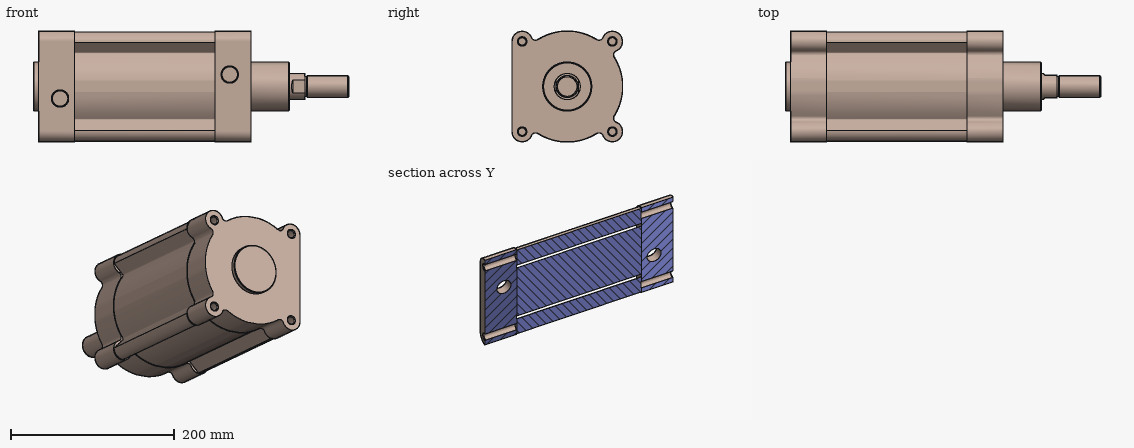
import cadquery as cq
import math


total_length = 385.0
boss_length = 6.0
cap_length = 44.0
barrel_length = 171.7
collar_length = 46.5
rear_cap_x = boss_length
barrel_x = rear_cap_x + cap_length
front_cap_x = barrel_x + barrel_length
collar_x = front_cap_x + cap_length

cap_width = 135.0
cap_half = cap_width / 2
cap_round_diameter = 136.0
cap_corner_offset = 55.0
cap_corner_radius = cap_half - cap_corner_offset
valley_fillet = 5.0
crown_blend_radius = 32.7
flat_side_depth = 21.0
boss_diameter = 60.0
boss_chamfer = 0.8
collar_chamfer = 1.0

screw_hole_diameter = 9.2
screw_hole_chamfer = 1.0

port_diameter = 19.0
port_chamfer = 1.0
port_depth = 17.5
port_from_barrel = 17.7
port_height = 14.5

barrel_width = 133.5
barrel_half = barrel_width / 2
barrel_round_diameter = 134.5
rail_corner_offset = 54.0
rail_corner_radius = barrel_half - rail_corner_offset
rail_depth = 30.8
rail_fillet = 1.5

rod_diameter = 32.0
thread_diameter = 27.0
thread_chamfer = 1.5
relief_diameter = 24.5
shoulder_x = 331.0
thread_x = 334.5
flats_width = 27.7
flats_x = 316.5
flats_run_in = 1.5

TOLERANCE = 0.05

CORNER_SIGNS = [(-1, -1), (-1, 1), (1, -1), (1, 1)]


def cylinder(x_start, length, diameter):
    return cq.Workplane("YZ").workplane(offset=x_start).circle(diameter / 2).extrude(length)


def square_bar(length, width):
    return cq.Workplane("YZ").rect(width, width).extrude(length)


def fillet_lengthwise_edges(body, radius, wanted):
    """Round the edges along X for which wanted(|y|, |z|) is true."""
    edges = [
        edge
        for edge in body.edges("|X").vals()
        if wanted(abs(edge.Center().y), abs(edge.Center().z))
    ]
    return body.newObject(edges).fillet(radius)


def is_valley(round_diameter, half_width):
    """Test for an edge on the main round that is not on a flat crown."""
    def test(y, z):
        on_round = abs(math.hypot(y, z) - round_diameter / 2) < TOLERANCE
        return on_round and max(y, z) < half_width - TOLERANCE
    return test


def is_crown(round_diameter, half_width):
    """Test for an edge where the main round runs into a flat crown."""
    def test(y, z):
        on_round = abs(math.hypot(y, z) - round_diameter / 2) < TOLERANCE
        return on_round and max(y, z) > half_width - TOLERANCE
    return test


def crowned_round(length, diameter, width):
    """Round bar with a narrow flat on each of its four sides, starting at X = 0."""
    return cylinder(0, length, diameter).intersect(square_bar(length, width))


def corner_points(offset):
    return [(sign_y * offset, sign_z * offset) for sign_y, sign_z in CORNER_SIGNS]


def cap_block():
    """Round cap with four corner lobes and a full-width flat -Y side, starting at X = 0."""
    lobes = (
        cq.Workplane("YZ")
        .pushPoints(corner_points(cap_corner_offset))
        .circle(cap_corner_radius)
        .extrude(cap_length)
    )
    flat_side = (
        cq.Workplane("YZ")
        .center(flat_side_depth / 2 - cap_half, 0)
        .rect(flat_side_depth, 2 * cap_corner_offset)
        .extrude(cap_length)
    )
    block = crowned_round(cap_length, cap_round_diameter, cap_width).union(lobes).union(flat_side)
    block = fillet_lengthwise_edges(block, valley_fillet, is_valley(cap_round_diameter, cap_half))
    return fillet_lengthwise_edges(block, crown_blend_radius, is_crown(cap_round_diameter, cap_half))


def countersunk_cutter(plane, depth, diameter, chamfer):
    """Hole cutter from the plane's origin along its normal, with a 45 degree countersink."""
    bore = cq.Workplane(plane).circle(diameter / 2).extrude(depth)
    cone = cq.Workplane(plane).circle(diameter / 2 + chamfer).extrude(chamfer, taper=45)
    return bore.union(cone)


def cut_screw_holes(cap, face_x, inward):
    """Cut the four corner holes through a cap, countersunk on its outer face."""
    for y, z in corner_points(cap_corner_offset):
        plane = cq.Plane(origin=(face_x, y, z), xDir=(0, 1, 0), normal=(inward, 0, 0))
        cap = cap.cut(countersunk_cutter(plane, cap_length, screw_hole_diameter, screw_hole_chamfer))
    return cap


def cut_port(cap, x, z):
    """Cut a blind air port into the flat -Y side of a cap."""
    plane = cq.Plane(origin=(x, -cap_half, z), xDir=(1, 0, 0), normal=(0, 1, 0))
    return cap.cut(countersunk_cutter(plane, port_depth, port_diameter, port_chamfer))


def make_rear_cap():
    boss = cylinder(0, boss_length, boss_diameter).faces("<X").chamfer(boss_chamfer)
    cap = cap_block().translate((rear_cap_x, 0, 0)).union(boss)
    cap = cut_screw_holes(cap, rear_cap_x, 1)
    return cut_port(cap, barrel_x - port_from_barrel, -port_height)


def make_front_cap():
    collar = cylinder(collar_x, collar_length, boss_diameter).faces(">X").chamfer(collar_chamfer)
    cap = cap_block().translate((front_cap_x, 0, 0)).union(collar)
    cap = cut_screw_holes(cap, collar_x, -1)
    cap = cut_port(cap, front_cap_x + port_from_barrel, port_height)
    rod_bore = cylinder(front_cap_x, cap_length + collar_length, rod_diameter)
    return cap.cut(rod_bore)


def corner_rail():
    """Corner rail of the barrel on the +Y +Z side: rounded outside, 45 degree flanks."""
    middle = rail_corner_offset + rail_corner_radius * math.sqrt(0.5)
    return (
        cq.Workplane("YZ")
        .moveTo(barrel_half, rail_corner_offset)
        .threePointArc((middle, middle), (rail_corner_offset, barrel_half))
        .line(-rail_depth, -rail_depth)
        .line(rail_corner_radius, -rail_corner_radius)
        .close()
        .extrude(barrel_length)
    )


def make_barrel():
    barrel = crowned_round(barrel_length, barrel_round_diameter, barrel_width)
    for quarter in range(4):
        barrel = barrel.union(corner_rail().rotate((0, 0, 0), (1, 0, 0), 90 * quarter))
    barrel = fillet_lengthwise_edges(barrel, rail_fillet, is_valley(barrel_round_diameter, barrel_half))
    return barrel.translate((barrel_x, 0, 0))


def wrench_flat_cutter():
    """Cutter for the +Y wrench flat, with a sloped run-in at its collar end."""
    flat_y = flats_width / 2
    outer_y = rod_diameter / 2
    return (
        cq.Workplane("XY")
        .moveTo(flats_x, flat_y)
        .lineTo(shoulder_x, flat_y)
        .lineTo(shoulder_x, outer_y)
        .lineTo(flats_x - flats_run_in, outer_y)
        .close()
        .extrude(rod_diameter / 2, both=True)
    )


def make_rod():
    """Piston rod with a thread relief, a chamfered thread and two wrench flats."""
    rod_radius = rod_diameter / 2
    relief_radius = relief_diameter / 2
    thread_radius = thread_diameter / 2
    rod = (
        cq.Workplane("XY")
        .moveTo(front_cap_x, 0)
        .lineTo(front_cap_x, rod_radius)
        .lineTo(shoulder_x, rod_radius)
        .lineTo(shoulder_x, relief_radius)
        .lineTo(thread_x - (thread_radius - relief_radius), relief_radius)
        .lineTo(thread_x, thread_radius)
        .lineTo(total_length - thread_chamfer, thread_radius)
        .lineTo(total_length, thread_radius - thread_chamfer)
        .lineTo(total_length, 0)
        .close()
        .revolve(360, (0, 0, 0), (1, 0, 0))
    )
    flat_cutter = wrench_flat_cutter()
    return rod.cut(flat_cutter).cut(flat_cutter.mirror("XZ"))


rear_cap = make_rear_cap()
barrel = make_barrel()
front_cap = make_front_cap()
rod = make_rod()

bodies = [rear_cap, barrel, front_cap, rod]
result = cq.Compound.makeCompound([body.solids().val() for body in bodies])